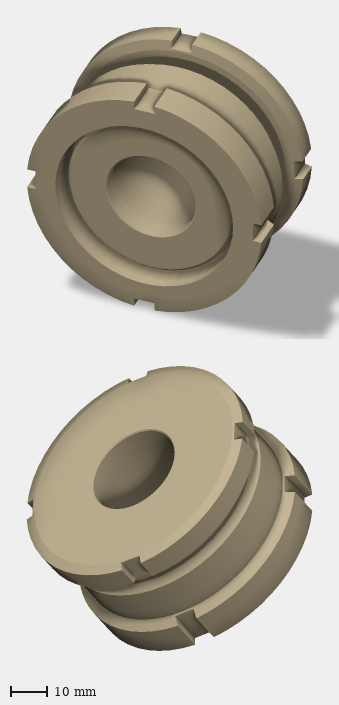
import cadquery as cq
total_length = 37.74

rim_radius = 35.0
slot_width = 6.0
sleeve_slot_floor_radius = 32.4
slot_count = 4

flange_length = 9.25
flange_cone_end = 10.95
barrel_radius = 32.0
barrel_end = 22.7
boss_radius = 29.9
boss_start = 24.6
boss_chamfer = 1.1
sleeve_length = 27.0
counterbore_radius = 26.45
counterbore_depth = 12.0

thread_radius = 24.9
thread_chamfer = 0.9
spindle_front = 4.8
bore_radius = 13.1
bore_chamfer = 0.35
thread_end = sleeve_length + 0.2
neck_radius = thread_radius - thread_chamfer
ring_length = 8.1
ring_front = total_length - ring_length
ring_face_radius = 32.1
ring_rear_cone = 0.8
ring_front_cone = 0.95
ring_slot_floor_radius = 32.6
ring_recess_radius = 30.0
ring_recess_depth = 2.4
ring_turn = 1.85


def revolve_about_y(profile):
    """Turn a closed list of (radius, y) points into a solid about the Y axis."""
    return cq.Workplane("XY").polyline(profile).close().revolve(360, (0, 0, 0), (0, 1, 0))


def cut_rim_slots(body, slot_floor_radius, y_start, y_end):
    """Cut the hook-spanner slots into the rim between two Y positions."""
    slot_depth = 2 * (rim_radius - slot_floor_radius)
    slot = cq.Workplane("XY").box(slot_width, y_end - y_start, slot_depth).translate(
        (0, (y_start + y_end) / 2, slot_floor_radius + slot_depth / 2)
    )
    for index in range(slot_count):
        angle = index * 360 / slot_count
        body = body.cut(slot.rotate((0, 0, 0), (0, 1, 0), angle))
    return body


def make_sleeve():
    """Slotted flange, barrel and stepped rear boss around a threaded hole."""
    body = revolve_about_y([
        (counterbore_radius, 0),
        (rim_radius, 0),
        (rim_radius, flange_length),
        (barrel_radius, flange_cone_end),
        (barrel_radius, barrel_end),
        (boss_radius, boss_start),
        (boss_radius, sleeve_length - boss_chamfer),
        (boss_radius - boss_chamfer, sleeve_length),
        (thread_radius, sleeve_length),
        (thread_radius, counterbore_depth),
        (counterbore_radius, counterbore_depth),
    ])
    return cut_rim_slots(body, sleeve_slot_floor_radius, 0, flange_cone_end)


def make_spindle():
    """Hollow threaded shank with a relieved neck and a slotted ring at the rear."""
    body = revolve_about_y([
        (bore_radius + bore_chamfer, spindle_front),
        (neck_radius, spindle_front),
        (thread_radius, spindle_front + thread_chamfer),
        (thread_radius, thread_end),
        (neck_radius, thread_end + thread_chamfer),
        (neck_radius, ring_front + ring_recess_depth),
        (ring_recess_radius, ring_front + ring_recess_depth),
        (ring_recess_radius, ring_front),
        (ring_face_radius, ring_front),
        (rim_radius, ring_front + ring_front_cone),
        (rim_radius, total_length - ring_rear_cone),
        (ring_face_radius, total_length),
        (bore_radius + bore_chamfer, total_length),
        (bore_radius, total_length - bore_chamfer),
        (bore_radius, spindle_front + bore_chamfer),
    ])
    body = cut_rim_slots(body, ring_slot_floor_radius, ring_front, total_length)
    return body.rotate((0, 0, 0), (0, 1, 0), -ring_turn)


sleeve = make_sleeve()
spindle = make_spindle()

result = cq.Compound.makeCompound([sleeve.val(), spindle.val()])